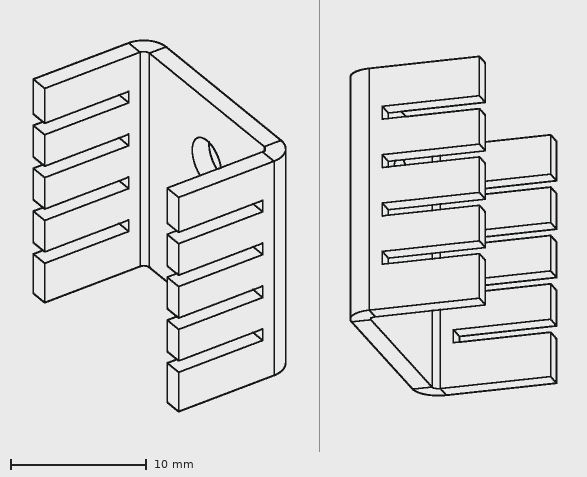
import cadquery as cq

width = 19.0
depth = 10.5
height = 19.0
sheet = 1.5
bend_outer = 2.0
bend_inner = bend_outer - sheet

slot_count = 4
slot_width = 1.0
slot_pitch = 3.8
slot_length = 7.5
first_slot_bottom = 3.5

hole_diameter = 3.8
hole_drop = 5.5

half_width = width / 2
bend_center_x = half_width - bend_outer
bend_center_y = depth - bend_outer


def make_back_plate():
    """Flat plate between the two bends, with its round hole."""
    plate = cq.Workplane("XY").box(2 * bend_center_x, sheet, height, centered=(True, False, False))
    plate = plate.translate((0, depth - sheet, 0))
    hole = (
        cq.Workplane("XZ", origin=(0, depth, height - hole_drop))
        .circle(hole_diameter / 2)
        .extrude(sheet)
    )
    return plate.cut(hole)


def make_bend(side):
    """Quarter-ring corner; side is -1 for the -X corner and +1 for the +X corner."""
    corner = cq.Workplane("XY").box(bend_outer, bend_outer, height, centered=(True, False, False))
    corner = corner.translate((side * bend_outer / 2, 0, 0))
    ring = cq.Workplane("XY").circle(bend_outer).circle(bend_inner).extrude(height)
    return ring.intersect(corner).translate((side * bend_center_x, bend_center_y, 0))


def make_finned_wall(side):
    """Flat side wall, slotted from its open edge."""
    wall = cq.Workplane("XY").box(sheet, bend_center_y, height, centered=(True, False, False))
    for index in range(slot_count):
        slot = cq.Workplane("XY").box(sheet, slot_length, slot_width, centered=(True, False, False))
        wall = wall.cut(slot.translate((0, 0, first_slot_bottom + index * slot_pitch)))
    return wall.translate((side * (half_width - sheet / 2), 0, 0))


back_plate = make_back_plate()
bends = [make_bend(side).val() for side in (-1, 1)]
finned_walls = [make_finned_wall(side).val() for side in (-1, 1)]

result = cq.Compound.makeCompound([back_plate.val(), *bends, *finned_walls])